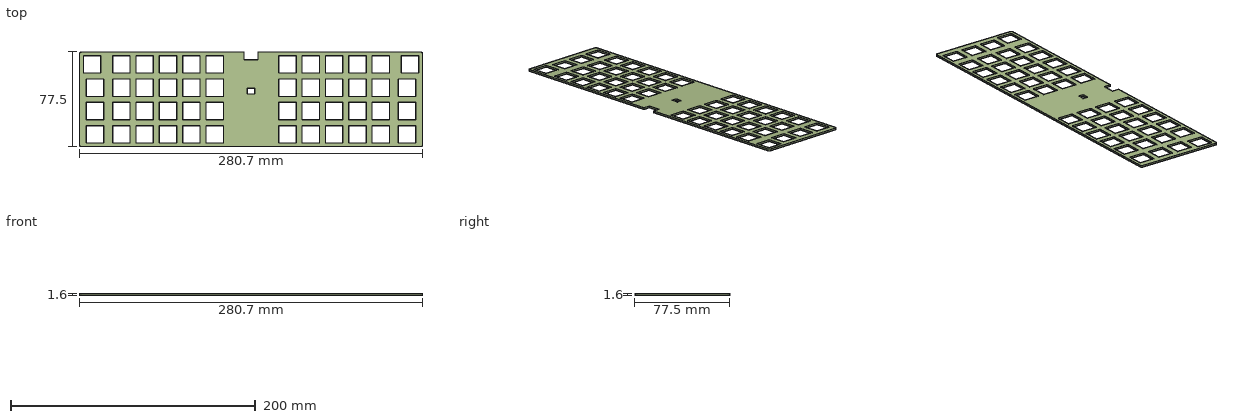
import cadquery as cq

length = 280.7
width = 77.5
thickness = 1.6
corner_radius = 1.5

key_pitch = 19.0
key_opening = 14.0
row_count = 4
inner_columns = 5
inner_column_x = 29.8
edge_column_step = 1.125 * key_pitch
corner_key_step = 1.25 * key_pitch

notch_width = 11.2
notch_depth = 6.2

window_length = 6.0
window_width = 4.5
window_y = 6.7


def make_plate():
    plate = cq.Workplane("XY").box(length, width, thickness, centered=(True, True, False))
    return plate.edges("|Z").fillet(corner_radius)


def top_plane(plate):
    """Work plane on the top face, centred on the plate."""
    return plate.faces(">Z").workplane(origin=(0, 0, thickness))


def key_centres():
    """Centres of all key openings, mirrored about the YZ plane."""
    centres = []
    last_inner_x = inner_column_x + (inner_columns - 1) * key_pitch
    for row in range(row_count):
        y = (row - (row_count - 1) / 2) * key_pitch
        is_back_row = row == row_count - 1
        edge_step = corner_key_step if is_back_row else edge_column_step
        columns = [inner_column_x + column * key_pitch for column in range(inner_columns)]
        columns.append(last_inner_x + edge_step)
        for x in columns:
            centres += [(-x, y), (x, y)]
    return centres


def cut_key_openings(plate):
    return top_plane(plate).pushPoints(key_centres()).rect(key_opening, key_opening).cutThruAll()


def cut_notch(plate):
    return top_plane(plate).center(0, width / 2).rect(notch_width, 2 * notch_depth).cutThruAll()


def cut_window(plate):
    return top_plane(plate).center(0, window_y).rect(window_length, window_width).cutThruAll()


result = cut_window(cut_notch(cut_key_openings(make_plate())))